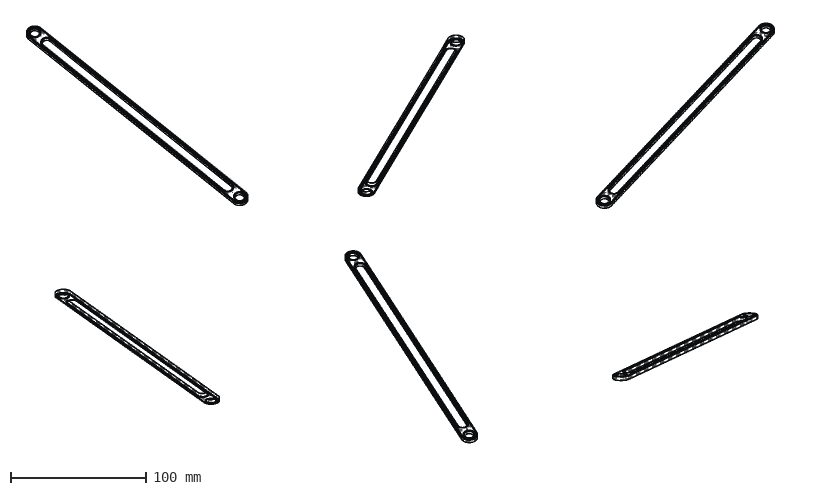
import cadquery as cq

length = 225.0
width = 12.5
thickness = 3.2
opening_width = 7.0
slot_length = 194.5
rim_width = 1.1
edge_chamfer = 0.34
pocket_depth = 0.2

hole_x = (length - width) / 2
overcut = 2 * thickness


def round_ended_bar(bar_length, bar_width, height):
    """Straight bar with full-radius ends, lying along X and centred on the origin."""
    base = cq.Workplane("XY", origin=(0, 0, -height / 2))
    return base.slot2D(bar_length, bar_width).extrude(height)


def openings(margin=0.0):
    """Cutter for the two end holes and the long slot, grown outward by a margin."""
    holes = (
        cq.Workplane("XY", origin=(0, 0, -overcut / 2))
        .pushPoints([(-hole_x, 0), (hole_x, 0)])
        .circle(opening_width / 2 + margin)
        .extrude(overcut)
    )
    slot = round_ended_bar(slot_length + 2 * margin, opening_width + 2 * margin, overcut)
    return holes.union(slot)


def link_body():
    """Flat link with its openings; all edges of the top and bottom faces are chamfered."""
    blank = round_ended_bar(length, width, thickness).cut(openings())
    return blank.faces("|Z").edges().chamfer(edge_chamfer)


def face_pockets():
    """Cutter for the shallow recess between the rims, on both the top and bottom face."""
    inside_outer_rim = round_ended_bar(length - 2 * rim_width, width - 2 * rim_width, overcut)
    floor_plate = cq.Workplane("XY").box(length, width, thickness - 2 * pocket_depth)
    return inside_outer_rim.cut(floor_plate).cut(openings(rim_width))


result = link_body().cut(face_pockets())